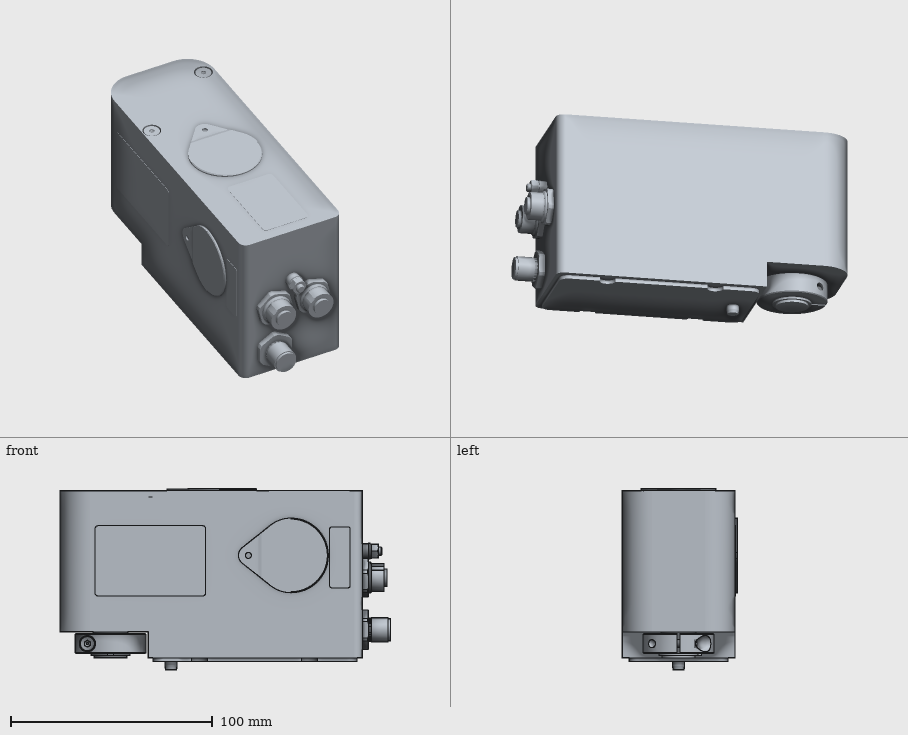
import cadquery as cq
import math

OVERALL_LENGTH = 164.0
BODY_LENGTH = 150.0
BODY_WIDTH = 56.1
BODY_HEIGHT = 83.0
REAR_CORNER_RADIUS = 15.0
FRONT_CORNER_RADIUS = 4.1
STEP_LENGTH = 43.8
STEP_HEIGHT = 13.0

LABEL_THICKNESS = 0.2
SIDE_LABELS = [
    (17.4, 72.3, 30.7, 65.6, 1.6),
    (133.8, 144.0, 34.8, 65.0, 1.0),
]
TOP_LABEL = (103.6, 143.8, -12.3, 13.0, 2.0)

COVER_DISC_RADIUS = 18.5
COVER_NOSE_RADIUS = 5.0
COVER_SHOULDER_RADIUS = 16.4
COVER_NOSE_OFFSET = 21.2
COVER_TAB_HEIGHT = 0.8
COVER_HEIGHT = 1.1
COVER_RIDGE_OFFSET = 14.6
COVER_RIDGE_WIDTH = 1.5
COVER_EDGE_BEVEL = 0.5
COVER_HOLE_DIAMETER = 3.0
TOP_COVER_X = 79.0
SIDE_COVER_X = 114.6
SIDE_COVER_Z = 50.8

TOP_SCREWS = [(15.0, 22.0), (45.0, -23.0)]
TOP_SCREW_POCKET_DIAMETER = 9.3
TOP_SCREW_POCKET_DEPTH = 3.3
TOP_SCREW_HEAD_DIAMETER = 8.0
TOP_SCREW_HEAD_HEIGHT = 3.0
TOP_SCREW_SOCKET_DIAMETER = 3.0
TOP_SCREW_SOCKET_DEPTH = 0.5

PLATE_START = 46.1
PLATE_LENGTH = 101.4
PLATE_WIDTH = 49.2
PLATE_THICKNESS = 1.8
PLATE_CORNER_RADIUS = 4.6
PLATE_NOTCHES = [69.2, 123.8]
PLATE_NOTCH_DIAMETER = 8.0
PIN_X = 55.1
PIN_DIAMETER = 6.0
PIN_TIP_DIAMETER = 5.4
PIN_LENGTH = 4.3
PIN_TIP_LENGTH = 1.6

SHAFT_X = 25.1
SHAFT_DIAMETER = 17.2
SHAFT_END_DIAMETER = 16.2
RETAINER_DIAMETER = 19.4
RETAINER_EAR_WIDTH = 2.8
RETAINER_EAR_REACH = 11.3
RETAINER_BOTTOM = 1.1
RING_DIAMETER = 35.3
RING_BOTTOM = 2.1
RING_TOP = 12.0
RING_EDGE_CHAMFER = 0.5
RING_SLIT_WIDTH = 1.5
CLAMP_SCREW_OFFSET = 11.5
CLAMP_SCREW_DIAMETER = 4.0
CLAMP_SEAT_DEPTH = 8.0
CLAMP_POCKET_DIAMETER = 8.0
CLAMP_HEAD_DIAMETER = 7.0
CLAMP_HEAD_HEIGHT = 1.0
CLAMP_SOCKET_DIAMETER = 3.5
CLAMP_SOCKET_DEPTH = 0.5

SOCKET_PLACES = [(10.5, 39.9), (-10.5, 39.9)]
PLUG_PLACE = (-10.7, 14.0)
NUT_THICKNESS = 3.0
NUT_FLATS = 17.9
NUT_CORNER_DIAMETER = 19.7
NUT_EDGE_CHAMFER = 0.3
COLLAR_END = 4.5
SOCKET_NUT_ANGLE = 43.0
SOCKET_COLLAR_DIAMETER = 15.5
SOCKET_COLLAR_CHAMFER = 0.7
SOCKET_BODY_DIAMETER = 14.0
SOCKET_BODY_END = 10.8
SOCKET_TIP_DIAMETER = 8.7
SOCKET_TIP_END = 12.3
KEYWAY_WIDTH = 2.8
KEYWAY_DEPTH = 0.7
KEYWAY_ANGLE = 135.0
PLUG_NUT_ANGLE = 90.0
PLUG_COLLAR_DIAMETER = 11.6
PLUG_TOOTH_COUNT = 18
PLUG_TOOTH_GAP = 1.0
PLUG_TOOTH_HEIGHT = 0.3
PLUG_BODY_DIAMETER = 12.1
PLUG_BODY_END = 12.8
PLUG_TIP_DIAMETER = 11.0
PLUG_TIP_END = OVERALL_LENGTH - BODY_LENGTH

STUD_Z = 53.0
STUD_DIAMETER = 4.3
STUD_END = 9.7
STUD_CHAMFER = 0.5
STUD_SPACER_DIAMETER = 7.5
STUD_SPACER_END = 3.1
STUD_WASHER_DIAMETER = 8.0
STUD_WASHER_END = 3.8
STUD_LOCK_RING_DIAMETER = 7.2
STUD_LOCK_RING_END = 4.5
STUD_NUT_CORNERS = 8.0
STUD_NUT_END = 7.9
STUD_NUT_CHAMFER = 0.5

EMBED = 0.8


def disc(diameter, start, end):
    """Cylinder along Z between two heights."""
    return cq.Workplane("XY").workplane(offset=start).circle(diameter / 2).extrude(end - start)


def housing():
    block = cq.Workplane("XY").box(BODY_LENGTH, BODY_WIDTH, BODY_HEIGHT, centered=(False, True, False))
    block = block.edges("|Z and <X").fillet(REAR_CORNER_RADIUS)
    block = block.edges("|Z and >X").fillet(FRONT_CORNER_RADIUS)
    step = cq.Workplane("XY").box(STEP_LENGTH, BODY_WIDTH, STEP_HEIGHT, centered=(False, True, False))
    return block.cut(step)


def onto_side(piece):
    """Turn a piece standing on Z=0 so that it stands on the -Y face of the housing."""
    return piece.rotate((0, 0, 0), (1, 0, 0), 90).translate((0, -BODY_WIDTH / 2, 0))


def onto_top(piece):
    return piece.translate((0, 0, BODY_HEIGHT))


def label(x_min, x_max, y_min, y_max, corner_radius):
    sheet = cq.Workplane("XY").box(x_max - x_min, y_max - y_min, EMBED + LABEL_THICKNESS,
                                   centered=False)
    return sheet.edges("|Z").fillet(corner_radius).translate((x_min, y_min, -EMBED))


def cover(x, y):
    """Teardrop cover: a disc with a thinner, drilled nose towards -X."""
    shoulder_y = COVER_DISC_RADIUS - COVER_SHOULDER_RADIUS
    spacing = math.hypot(COVER_NOSE_OFFSET, shoulder_y)
    slope = (
        math.atan2(shoulder_y, COVER_NOSE_OFFSET)
        + math.asin((COVER_SHOULDER_RADIUS - COVER_NOSE_RADIUS) / spacing)
    )

    def shoulder_point(angle):
        """Point on the upper shoulder arc, with the angle measured from +Y towards -X."""
        return (-COVER_SHOULDER_RADIUS * math.sin(angle),
                shoulder_y + COVER_SHOULDER_RADIUS * math.cos(angle))

    def mirrored(point):
        return (point[0], -point[1])

    top = (0, COVER_DISC_RADIUS)
    shoulder_middle = shoulder_point(slope / 2)
    shoulder_end = shoulder_point(slope)
    nose_start = (-COVER_NOSE_OFFSET - COVER_NOSE_RADIUS * math.sin(slope),
                  COVER_NOSE_RADIUS * math.cos(slope))
    nose_tip = (-COVER_NOSE_OFFSET - COVER_NOSE_RADIUS, 0)
    outline = (
        cq.Workplane("XY").workplane(offset=-EMBED)
        .moveTo(*nose_start)
        .lineTo(*shoulder_end)
        .threePointArc(shoulder_middle, top)
        .threePointArc((COVER_DISC_RADIUS, 0), mirrored(top))
        .threePointArc(mirrored(shoulder_middle), mirrored(shoulder_end))
        .lineTo(*mirrored(nose_start))
        .threePointArc(nose_tip, nose_start)
        .close()
    )
    plate = outline.extrude(EMBED + COVER_HEIGHT)

    bevelled_rim = (
        cq.Workplane("XY").workplane(offset=COVER_HEIGHT - COVER_EDGE_BEVEL).circle(COVER_DISC_RADIUS)
        .workplane(offset=COVER_EDGE_BEVEL).circle(COVER_DISC_RADIUS - COVER_EDGE_BEVEL).loft()
    )
    rim_space = (
        cq.Workplane("XY")
        .box(2 * COVER_DISC_RADIUS, 4 * COVER_DISC_RADIUS, COVER_EDGE_BEVEL, centered=(False, True, False))
        .translate((0, 0, COVER_HEIGHT - COVER_EDGE_BEVEL))
    )
    rim = rim_space.cut(bevelled_rim)

    ridge_end = -COVER_RIDGE_OFFSET
    ridge_start = ridge_end - COVER_RIDGE_WIDTH
    tab_end = nose_tip[0]
    above_tab = (
        cq.Workplane("XZ")
        .polyline([(tab_end, COVER_TAB_HEIGHT), (ridge_start, COVER_TAB_HEIGHT),
                   (ridge_end, COVER_HEIGHT), (tab_end, COVER_HEIGHT)])
        .close().extrude(COVER_DISC_RADIUS, both=True)
    )
    hole = disc(COVER_HOLE_DIAMETER, 0, COVER_HEIGHT).translate((-COVER_NOSE_OFFSET, 0, 0))
    return plate.cut(rim).cut(above_tab).cut(hole).translate((x, y, 0))


def socket_screw(head_diameter, head_height, socket_diameter, socket_depth):
    """Screw head standing on Z=0; the hexagon socket in its top ends in a drill point."""
    head = disc(head_diameter, -EMBED, head_height)
    socket = (
        cq.Workplane("XY").workplane(offset=head_height - socket_depth)
        .polygon(6, socket_diameter).extrude(socket_depth)
        .rotate((0, 0, 0), (0, 0, 1), 90)
    )
    drill_radius = socket_diameter / 2 * math.cos(math.pi / 6)
    drill_point = cq.Workplane(cq.Solid.makeCone(
        drill_radius, 0, drill_radius / 2, cq.Vector(0, 0, head_height - socket_depth), cq.Vector(0, 0, -1)))
    return head.cut(socket).cut(drill_point)


def base_plate():
    centre_x = PLATE_START + PLATE_LENGTH / 2
    plate = (
        cq.Workplane("XY").box(PLATE_LENGTH, PLATE_WIDTH, PLATE_THICKNESS + EMBED)
        .edges("|Z").fillet(PLATE_CORNER_RADIUS)
        .translate((centre_x, 0, (EMBED - PLATE_THICKNESS) / 2))
    )
    for x in PLATE_NOTCHES:
        for side in (-1, 1):
            notch = disc(PLATE_NOTCH_DIAMETER, -PLATE_THICKNESS, 0)
            plate = plate.cut(notch.translate((x, side * PLATE_WIDTH / 2, 0)))
    return plate


def locating_pin():
    pin = disc(PIN_DIAMETER, -PIN_LENGTH, 0)
    tip = (
        cq.Workplane("XY").workplane(offset=-PIN_LENGTH).circle(PIN_DIAMETER / 2)
        .workplane(offset=-PIN_TIP_LENGTH).circle(PIN_TIP_DIAMETER / 2).loft()
    )
    return pin.union(tip).translate((PIN_X, 0, 0))


def shaft():
    neck = disc(SHAFT_DIAMETER, RING_BOTTOM, STEP_HEIGHT + EMBED)
    end = disc(SHAFT_END_DIAMETER, 0, RING_BOTTOM)
    retainer = disc(RETAINER_DIAMETER, RETAINER_BOTTOM, RING_BOTTOM)
    ear = (
        cq.Workplane("XY")
        .box(RETAINER_EAR_WIDTH, RETAINER_EAR_REACH, RING_BOTTOM - RETAINER_BOTTOM,
             centered=(True, False, False))
        .translate((0, -RETAINER_EAR_REACH, RETAINER_BOTTOM))
    )
    return neck.union(end).union(retainer).union(ear).translate((SHAFT_X, 0, 0))


def clamping_ring():
    """Slit ring closed by a screw that crosses the slit along Y."""
    ring = disc(RING_DIAMETER, RING_BOTTOM, RING_TOP).faces("<Z or >Z").chamfer(RING_EDGE_CHAMFER)
    reach = RING_DIAMETER / 2
    slit = cq.Workplane("XY").box(reach, RING_SLIT_WIDTH, RING_TOP, centered=(False, True, False))
    ring = ring.cut(slit.translate((-reach, 0, 0)))

    def along_screw(piece, y):
        """Turn a piece standing on Z=0 to face -Y on the screw axis."""
        middle = (RING_BOTTOM + RING_TOP) / 2
        return piece.rotate((0, 0, 0), (1, 0, 0), 90).translate((-CLAMP_SCREW_OFFSET, y, middle))

    ring = ring.cut(along_screw(disc(CLAMP_SCREW_DIAMETER, 0, reach), reach))
    ring = ring.cut(along_screw(disc(CLAMP_POCKET_DIAMETER, 0, reach), -CLAMP_SEAT_DEPTH))
    shank = disc(CLAMP_SCREW_DIAMETER, -2 * CLAMP_SEAT_DEPTH, 0)
    head = socket_screw(CLAMP_HEAD_DIAMETER, CLAMP_HEAD_HEIGHT, CLAMP_SOCKET_DIAMETER, CLAMP_SOCKET_DEPTH)
    ring = ring.union(along_screw(shank.union(head), -CLAMP_SEAT_DEPTH))
    return ring.translate((SHAFT_X, 0, 0))


def onto_end(piece, y, z):
    """Turn a piece standing on Z=0 to point along +X from the end face (its X becomes Y)."""
    turned = piece.rotate((0, 0, 0), (1, 1, 1), 120)
    return turned.translate((BODY_LENGTH, y, z))


def connector_nut(angle):
    """Hexagon nut with rounded corners, one corner at the given angle."""
    hexagon = (
        cq.Workplane("XY").workplane(offset=-EMBED)
        .polygon(6, NUT_FLATS / math.cos(math.pi / 6)).extrude(NUT_THICKNESS + EMBED)
        .rotate((0, 0, 0), (0, 0, 1), angle)
    )
    envelope = disc(NUT_CORNER_DIAMETER, -EMBED, NUT_THICKNESS).faces(">Z").chamfer(NUT_EDGE_CHAMFER)
    return hexagon.intersect(envelope)


def socket_connector():
    collar = disc(SOCKET_COLLAR_DIAMETER, 0, COLLAR_END).faces(">Z").chamfer(SOCKET_COLLAR_CHAMFER)
    barrel = disc(SOCKET_BODY_DIAMETER, 0, SOCKET_BODY_END)
    keyway = (
        cq.Workplane("XY").workplane(offset=COLLAR_END)
        .center(SOCKET_BODY_DIAMETER / 2, 0).rect(2 * KEYWAY_DEPTH, KEYWAY_WIDTH)
        .extrude(SOCKET_BODY_END - COLLAR_END)
        .rotate((0, 0, 0), (0, 0, 1), KEYWAY_ANGLE)
    )
    tip = disc(SOCKET_TIP_DIAMETER, 0, SOCKET_TIP_END)
    return connector_nut(SOCKET_NUT_ANGLE).union(collar).union(barrel.cut(keyway)).union(tip)


def plug_connector():
    collar = disc(PLUG_COLLAR_DIAMETER, 0, COLLAR_END)
    gaps = (
        cq.Workplane("XY").polarArray(PLUG_COLLAR_DIAMETER / 2, 0, 360, PLUG_TOOTH_COUNT)
        .rect(2 * PLUG_TOOTH_HEIGHT, PLUG_TOOTH_GAP).extrude(COLLAR_END)
    )
    barrel = disc(PLUG_BODY_DIAMETER, COLLAR_END, PLUG_BODY_END)
    tip = disc(PLUG_TIP_DIAMETER, 0, PLUG_TIP_END)
    return connector_nut(PLUG_NUT_ANGLE).union(collar.cut(gaps)).union(barrel).union(tip)


def earthing_stud():
    spacer = disc(STUD_SPACER_DIAMETER, -EMBED, STUD_SPACER_END)
    washer = disc(STUD_WASHER_DIAMETER, STUD_SPACER_END, STUD_WASHER_END)
    lock_ring = disc(STUD_LOCK_RING_DIAMETER, STUD_WASHER_END, STUD_LOCK_RING_END)
    nut = (
        cq.Workplane("XY").workplane(offset=STUD_LOCK_RING_END)
        .polygon(6, STUD_NUT_CORNERS).extrude(STUD_NUT_END - STUD_LOCK_RING_END)
        .intersect(disc(STUD_NUT_CORNERS, 0, STUD_NUT_END).faces(">Z").chamfer(STUD_NUT_CHAMFER))
    )
    stud = disc(STUD_DIAMETER, 0, STUD_END).faces(">Z").chamfer(STUD_CHAMFER)
    return spacer.union(washer).union(lock_ring).union(nut).union(stud)


result = housing()

for side_label in SIDE_LABELS:
    result = result.union(onto_side(label(*side_label)))
result = result.union(onto_top(label(*TOP_LABEL)))
result = result.union(onto_top(cover(TOP_COVER_X, 0)))
result = result.union(onto_side(cover(SIDE_COVER_X, SIDE_COVER_Z)))

for screw_x, screw_y in TOP_SCREWS:
    floor = BODY_HEIGHT - TOP_SCREW_POCKET_DEPTH
    pocket = disc(TOP_SCREW_POCKET_DIAMETER, floor, BODY_HEIGHT)
    screw = socket_screw(TOP_SCREW_HEAD_DIAMETER, TOP_SCREW_HEAD_HEIGHT,
                         TOP_SCREW_SOCKET_DIAMETER, TOP_SCREW_SOCKET_DEPTH)
    result = result.cut(pocket.translate((screw_x, screw_y, 0)))
    result = result.union(screw.translate((screw_x, screw_y, floor)))

result = result.union(base_plate()).union(locating_pin())
result = result.union(clamping_ring()).union(shaft())

for y, z in SOCKET_PLACES:
    result = result.union(onto_end(socket_connector(), y, z))
result = result.union(onto_end(plug_connector(), *PLUG_PLACE))
result = result.union(onto_end(earthing_stud(), 0, STUD_Z))